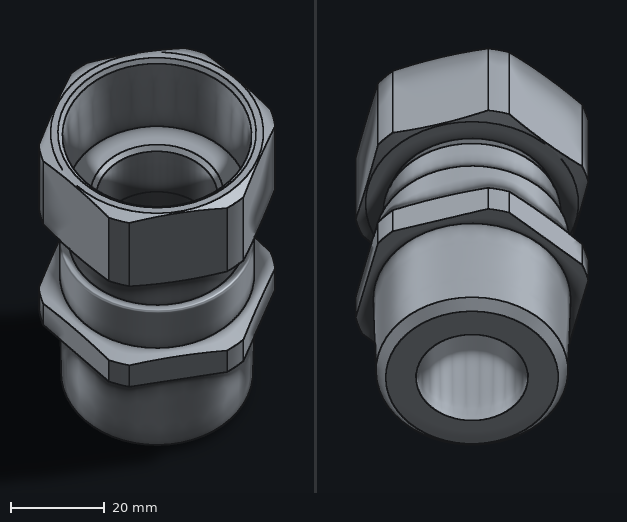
import cadquery as cq
import math

total_height = 80.25
socket_bottom_z = 57.9
neck_bottom_z = 55.1
joint_z = 46.0
collar_bottom_z = 34.1
hex_bottom_z = 26.0

across_flats = 46.0
across_corners = 50.6

head_bevel_diameter = 45.35
head_bevel_height = 0.9
neck_diameter = 36.0
spigot_diameter = 37.8
mouth_diameter = 42.2
socket_top_diameter = 40.3
socket_floor_diameter = 38.7
mouth_chamfer_height = 0.8
socket_floor_z = 59.95
bore_mouth_diameter = 28.4
bore_diameter = 26.0
bore_chamfer_height = 0.8

grip_bevel_height = 1.1
collar_diameter = 41.5
collar_fillet = 0.8
thread_top_diameter = 42.05
thread_bottom_diameter = 40.9
thread_tip_diameter = 36.75
tip_chamfer_height = 2.2
outlet_diameter = 23.8


def revolve_section(points):
    """Revolve a closed (radius, height) outline about the Z axis."""
    return cq.Workplane("XZ").polyline(points).close().revolve(360, (0, 0), (0, 1))


def hexagon(bottom_z, top_z, bevel_diameter, bevel_height, bevel_bottom):
    """Hexagon with flats on +X and -X, turned corners and conical end bevels."""
    circumscribed = across_flats / math.cos(math.pi / 6)
    prism = (
        cq.Workplane("XY", origin=(0, 0, bottom_z))
        .polygon(6, circumscribed)
        .extrude(top_z - bottom_z)
        .rotate((0, 0, 0), (0, 0, 1), 30)
    )
    corner_radius = across_corners / 2
    bevel_radius = bevel_diameter / 2
    if bevel_bottom:
        lower_points = [(bevel_radius, bottom_z), (corner_radius, bottom_z + bevel_height)]
    else:
        lower_points = [(corner_radius, bottom_z)]
    envelope = revolve_section(
        [(0, bottom_z)]
        + lower_points
        + [(corner_radius, top_z - bevel_height), (bevel_radius, top_z), (0, top_z)]
    )
    return prism.intersect(envelope)


def make_socket_piece():
    """Upper hexagon with a tapered socket, a neck and a plain spigot below it."""
    stem = revolve_section([
        (0, joint_z),
        (spigot_diameter / 2, joint_z),
        (spigot_diameter / 2, neck_bottom_z),
        (neck_diameter / 2, neck_bottom_z),
        (neck_diameter / 2, socket_bottom_z),
        (0, socket_bottom_z),
    ])
    cavity = revolve_section([
        (0, joint_z),
        (bore_diameter / 2, joint_z),
        (bore_diameter / 2, socket_floor_z - bore_chamfer_height),
        (bore_mouth_diameter / 2, socket_floor_z),
        (socket_floor_diameter / 2, socket_floor_z),
        (socket_top_diameter / 2, total_height - mouth_chamfer_height),
        (mouth_diameter / 2, total_height),
        (0, total_height),
    ])
    head = hexagon(socket_bottom_z, total_height, head_bevel_diameter, head_bevel_height, bevel_bottom=True)
    return head.union(stem).cut(cavity)


def make_threaded_piece():
    """Round collar over a hexagon, with a tapered thread blank below it."""
    collar = (
        cq.Workplane("XY", origin=(0, 0, collar_bottom_z))
        .circle(collar_diameter / 2)
        .extrude(joint_z - collar_bottom_z)
        .faces(">Z")
        .edges()
        .fillet(collar_fillet)
    )
    thread = revolve_section([
        (0, 0),
        (thread_tip_diameter / 2, 0),
        (thread_bottom_diameter / 2, tip_chamfer_height),
        (thread_top_diameter / 2, hex_bottom_z),
        (0, hex_bottom_z),
    ])
    tapered_bore = revolve_section([
        (0, 0),
        (outlet_diameter / 2, 0),
        (bore_diameter / 2, joint_z),
        (0, joint_z),
    ])
    grip = hexagon(hex_bottom_z, collar_bottom_z, collar_diameter, grip_bevel_height, bevel_bottom=False)
    return grip.union(collar).union(thread).cut(tapered_bore)


socket_piece = make_socket_piece()
threaded_piece = make_threaded_piece()
result = cq.Compound.makeCompound([socket_piece.val(), threaded_piece.val()])